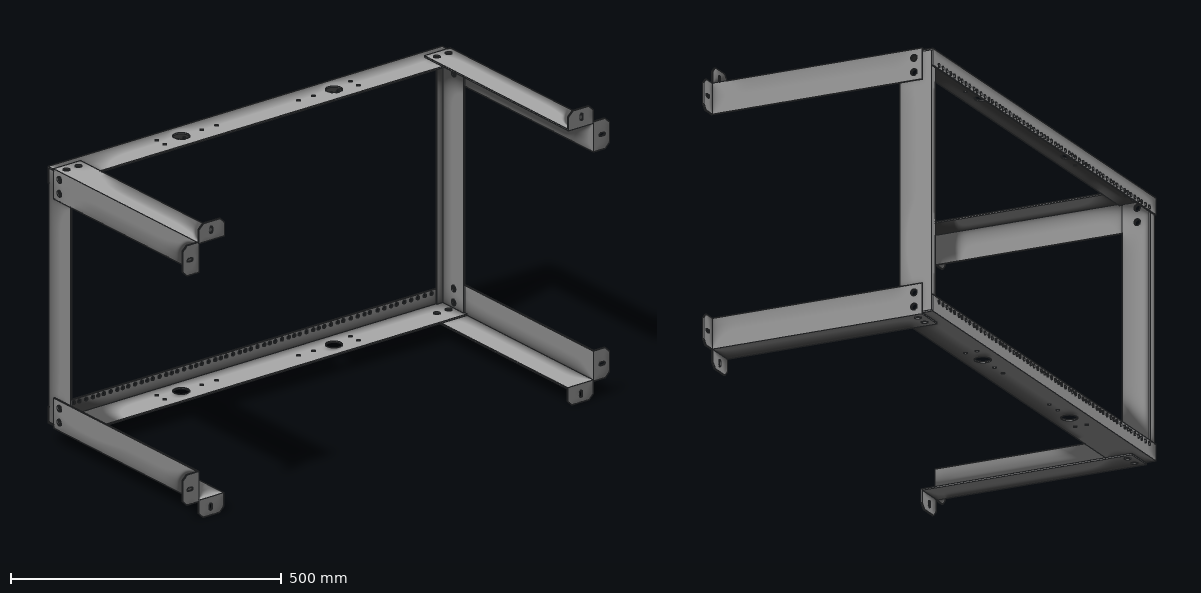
import cadquery as cq

depth = 457.0
total_width = 995.0
total_height = 590.0
sheet = 3.0
frame_width = 919.0
frame_height = 515.0

rail_depth = 76.0
rail_lip = 33.0

upright_depth = 66.0
upright_lip = 17.0

arm_start = 21.0
arm_leg_upright = 61.0
arm_leg_narrow = 61.0
arm_leg_wide = 63.0
tab_corner = 10.0
tab_slot_length = 14.0
tab_slot_width = 7.0
tab_slot_to_edge = 17.0

bolt_hole = 13.0
hole_line_x = rail_depth / 2
bolt_spacing = 28.0
bolt_to_frame_edge = 14.0

cable_hole = 32.0
cable_hole_y = 178.0
small_hole = 7.0
pair_y = 226.0
pair_spacing = 24.0
inner_small_holes_y = (96.0, 130.0)

rack_hole = 7.5
rack_row_length = 866.0
rack_hole_depth = 26.0
rack_short_ratio = 0.8
rack_wide_pitch = 18.0

sides = (-1, 1)
half_width = frame_width / 2
half_height = frame_height / 2
arm_outer_y = half_width + sheet
arm_outer_z = half_height + sheet


def box(x_range, y_range, z_range):
    """Box between two limits on each axis, given in either order."""
    low = [min(limits) for limits in (x_range, y_range, z_range)]
    size = [max(limits) - min(limits) for limits in (x_range, y_range, z_range)]
    return cq.Workplane("XY").box(*size, centered=False).translate(tuple(low))


def cylinders(plane, points, diameter, reach):
    """Cutters on both sides of a plane through the origin; points are in the plane's own axes."""
    return cq.Workplane(plane).pushPoints(points).circle(diameter / 2).extrude(reach, both=True)


def bolt_offsets(half_size):
    """Distances of a bolt pair from the frame's middle."""
    outer = half_size - bolt_to_frame_edge
    return (outer, outer - bolt_spacing)


def vertical_bolts():
    """Cutters along Z at the four corners."""
    points = [(hole_line_x, side * y) for side in sides for y in bolt_offsets(half_width)]
    return cylinders("XY", points, bolt_hole, total_height)


def sideways_bolts():
    """Cutters along Y at the four corners."""
    points = [(hole_line_x, side * z) for side in sides for z in bolt_offsets(half_height)]
    return cylinders("XZ", points, bolt_hole, total_width)


def rack_hole_positions():
    """Y of each equipment hole, from the mixed run of pitches."""
    pitches = ["long"] * 4 + ["wide"]
    pitches += ["short", "long", "long", "wide"] * 2
    pitches += ["short", "long", "long"]
    pitches += ["short", "short", "long", "long"] * 10
    pitches += ["short", "long", "long"]
    free_length = rack_row_length - pitches.count("wide") * rack_wide_pitch
    long_pitch = free_length / (pitches.count("long") + rack_short_ratio * pitches.count("short"))
    pitch_sizes = {"long": long_pitch, "short": rack_short_ratio * long_pitch, "wide": rack_wide_pitch}
    positions = [rack_row_length / 2]
    for pitch in pitches:
        positions.append(positions[-1] - pitch_sizes[pitch])
    return positions


def rail(z_side):
    """Horizontal angle with its lip at the front; z_side is 1 for the top rail, -1 for the bottom."""
    y_range = (-half_width, half_width)
    outer_z = z_side * half_height
    plate = box((0, rail_depth), y_range, (outer_z, outer_z - z_side * sheet))
    lip = box((0, sheet), y_range, (outer_z, outer_z - z_side * rail_lip))
    big = [(hole_line_x, side * cable_hole_y) for side in sides]
    small = [(hole_line_x, side * y) for side in sides for y in inner_small_holes_y]
    small += [(hole_line_x + end * pair_spacing / 2, side * pair_y) for side in sides for end in sides]
    rack_z = z_side * (half_height - rack_hole_depth)
    rack = [(y, rack_z) for y in rack_hole_positions()]
    return (
        plate.union(lip)
        .cut(vertical_bolts())
        .cut(cylinders("XY", big, cable_hole, total_height))
        .cut(cylinders("XY", small, small_hole, total_height))
        .cut(cylinders("YZ", rack, rack_hole, sheet))
    )


def upright(y_side):
    """Vertical angle between the rails, tucked behind their front lips."""
    outer_y = y_side * half_width
    z_range = (sheet - half_height, half_height - sheet)
    plate = box((sheet, sheet + upright_depth), (outer_y, outer_y - y_side * sheet), z_range)
    lip = box((sheet, 2 * sheet), (outer_y, outer_y - y_side * upright_lip), z_range)
    return plate.union(lip).cut(sideways_bolts())


def wall_tab(y_range, z_range, tip_face, slot_y, slot_z, slot_angle):
    """Flat tab at the back end of an arm leg, with cut corners and a slot."""
    tab = box((depth - sheet, depth), y_range, z_range).faces(tip_face).edges("|X").chamfer(tab_corner)
    slot = (
        cq.Workplane("YZ")
        .center(slot_y, slot_z)
        .slot2D(tab_slot_length, tab_slot_width, slot_angle)
        .extrude(depth)
    )
    return tab.cut(slot)


def arm(y_side, z_side):
    """Angle over one frame corner, with each leg bent outward into a wall tab."""
    leg_flat = arm_leg_narrow if y_side == z_side else arm_leg_wide
    x_range = (arm_start, depth)
    outer_y = y_side * arm_outer_y
    outer_z = z_side * arm_outer_z
    inner_y = outer_y - y_side * leg_flat
    inner_z = outer_z - z_side * arm_leg_upright
    flat_leg = box(x_range, (outer_y, inner_y), (outer_z, outer_z - z_side * sheet))
    upright_leg = box(x_range, (outer_y, outer_y - y_side * sheet), (outer_z, inner_z))

    tip_y = y_side * total_width / 2
    tip_z = z_side * total_height / 2
    flat_leg_tab = wall_tab(
        (outer_y - y_side * sheet, inner_y),
        (outer_z - z_side * sheet, tip_z),
        ">Z" if z_side > 0 else "<Z",
        (outer_y + inner_y) / 2,
        tip_z - z_side * tab_slot_to_edge,
        90,
    )
    upright_leg_tab = wall_tab(
        (outer_y - y_side * sheet, tip_y),
        (outer_z, inner_z),
        ">Y" if y_side > 0 else "<Y",
        tip_y - y_side * tab_slot_to_edge,
        (outer_z + inner_z) / 2,
        0,
    )
    bent = flat_leg.union(upright_leg).union(flat_leg_tab).union(upright_leg_tab)
    return bent.cut(vertical_bolts()).cut(sideways_bolts())


rails = [rail(z_side) for z_side in sides]
uprights = [upright(y_side) for y_side in sides]
arms = [arm(y_side, z_side) for y_side in sides for z_side in sides]

result = cq.Compound.makeCompound([body.val() for body in rails + uprights + arms])